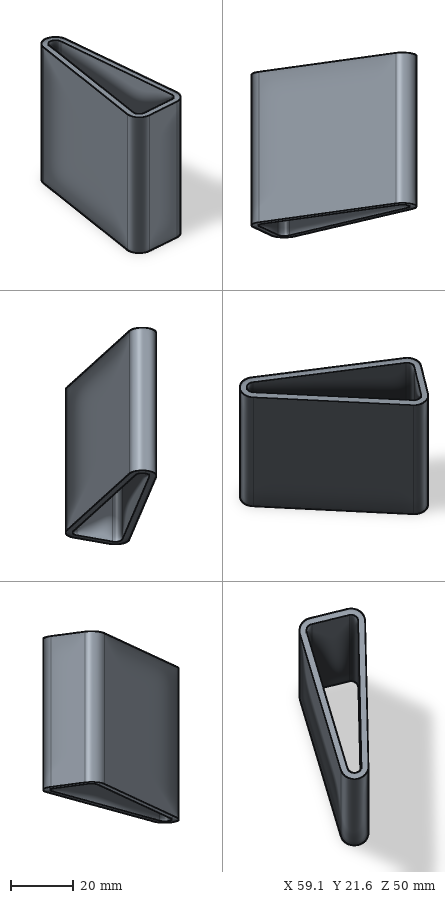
import cadquery as cq

length = 59.1
depth = 21.55
height = 50.0

corner_radius = 4.55
wall = 2.25
inner_radius = corner_radius - wall

long_leg = length - 2 * corner_radius
short_leg = depth - 2 * corner_radius


def rounded_wedge(radius):
    """Solid prism whose outline is the corner triangle grown by a radius."""
    return (
        cq.Workplane("XY")
        .polyline([(0, 0), (long_leg, 0), (long_leg, -short_leg)])
        .close()
        .offset2D(radius, "arc")
        .extrude(height)
    )


result = rounded_wedge(corner_radius).cut(rounded_wedge(inner_radius))